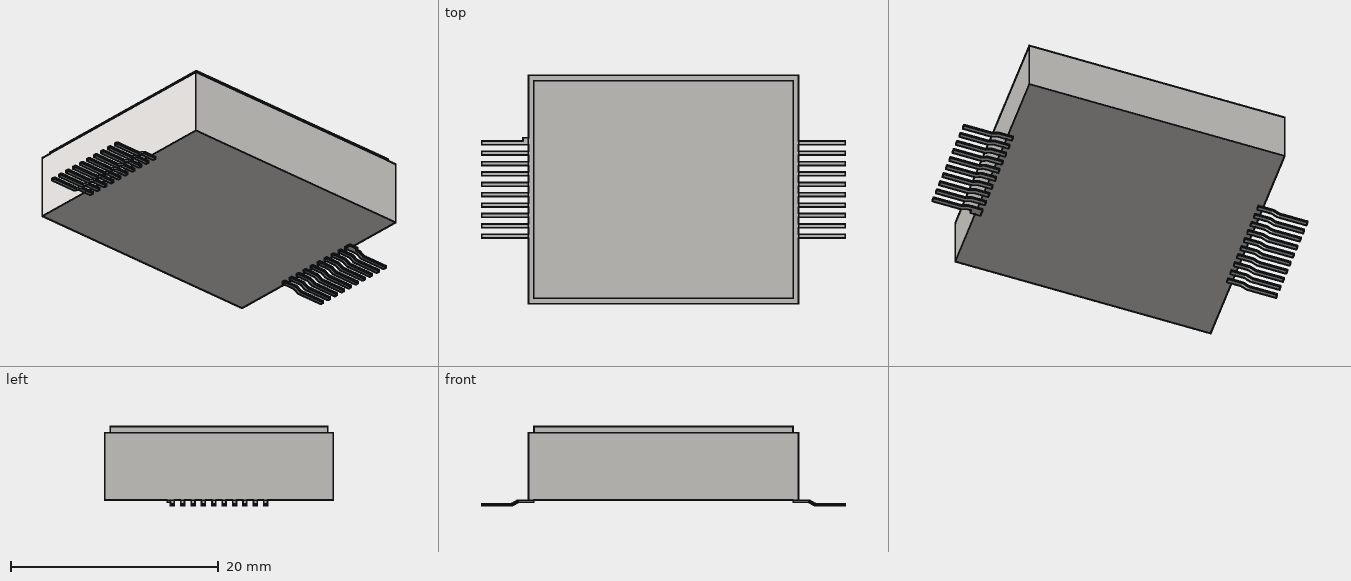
import cadquery as cq
import math

overall_length = 35.0
overall_height = 7.63

body_length = 26.0
body_width = 22.0
body_height = 6.5
lid_height = 0.6
lid_inset = 0.52

leads_per_side = 10
lead_row_span = 9.0
lead_pitch = lead_row_span / (leads_per_side - 1)
lead_width = 0.4
lead_thickness = 0.2
lead_overlap = 0.52
foot_length = 2.8
bend_angle = math.radians(30)
inner_radius = 0.4
outer_radius = inner_radius + lead_thickness

tab_reach = 0.52
tab_width = 0.3

lead_tip_x = -overall_length / 2
body_side_x = -body_length / 2
lead_end_x = body_side_x + lead_overlap
lead_bottom_z = body_height + lid_height - overall_height
foot_top_z = lead_bottom_z + lead_thickness
first_lead_y = lead_row_span / 2

radius_sum = inner_radius + outer_radius
slope_height = -foot_top_z - radius_sum * (1 - math.cos(bend_angle))
slope_run = slope_height / math.tan(bend_angle)
foot_bend_x = lead_tip_x + foot_length
shoulder_bend_x = foot_bend_x + radius_sum * math.sin(bend_angle) + slope_run


def foot_point(radius, angle):
    """Point on the bend that turns the foot upwards; its centre lies above the foot."""
    centre_z = foot_top_z + inner_radius
    return (foot_bend_x + radius * math.sin(angle), centre_z - radius * math.cos(angle))


def shoulder_point(radius, angle):
    """Point on the bend that levels the lead again; its centre lies below the shoulder."""
    centre_z = -outer_radius
    return (shoulder_bend_x - radius * math.sin(angle), centre_z + radius * math.cos(angle))


def make_package():
    body = cq.Workplane("XY").box(body_length, body_width, body_height, centered=(True, True, False))
    lid = (
        cq.Workplane("XY")
        .workplane(offset=body_height)
        .rect(body_length - 2 * lid_inset, body_width - 2 * lid_inset)
        .extrude(lid_height)
    )
    return body.union(lid)


def make_lead(centre_y):
    half_angle = bend_angle / 2
    return (
        cq.Workplane("XZ", origin=(0, centre_y, 0))
        .moveTo(lead_tip_x, foot_top_z)
        .lineTo(*foot_point(inner_radius, 0))
        .threePointArc(foot_point(inner_radius, half_angle), foot_point(inner_radius, bend_angle))
        .lineTo(*shoulder_point(outer_radius, bend_angle))
        .threePointArc(shoulder_point(outer_radius, half_angle), shoulder_point(outer_radius, 0))
        .lineTo(lead_end_x, 0)
        .lineTo(lead_end_x, -lead_thickness)
        .lineTo(*shoulder_point(inner_radius, 0))
        .threePointArc(shoulder_point(inner_radius, half_angle), shoulder_point(inner_radius, bend_angle))
        .lineTo(*foot_point(outer_radius, bend_angle))
        .threePointArc(foot_point(outer_radius, half_angle), foot_point(outer_radius, 0))
        .lineTo(lead_tip_x, lead_bottom_z)
        .close()
        .extrude(lead_width / 2, both=True)
    )


def make_first_lead_tab():
    """Flat tab beside the first lead on the -X side, flush with its shoulder."""
    corner = (body_side_x - tab_reach, first_lead_y + lead_width / 2, -lead_thickness)
    tab_length = tab_reach + lead_overlap
    return cq.Workplane("XY", origin=corner).box(tab_length, tab_width, lead_thickness, centered=False)


result = make_package()
for index in range(leads_per_side):
    lead = make_lead(first_lead_y - index * lead_pitch)
    result = result.union(lead).union(lead.mirror("YZ"))
result = result.union(make_first_lead_tab())